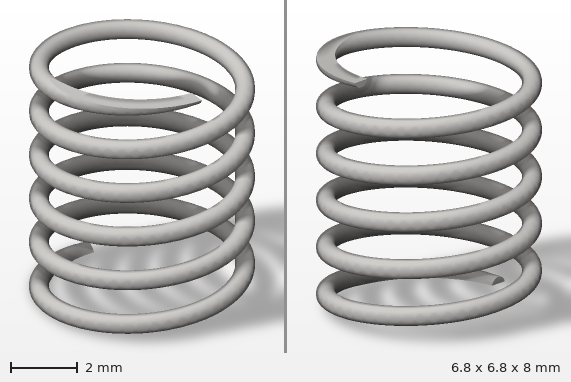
import cadquery as cq
import math

outer_diameter = 6.8
free_height = 8.0
wire_diameter = 0.6
turns = 5.5
end_grind = 0.09
top_overrun = 0.06

coil_radius = (outer_diameter - wire_diameter) / 2
centreline_height = free_height + 2 * end_grind
pitch = centreline_height / turns
overrun_rise = pitch * top_overrun / (2 * math.pi * coil_radius)


def coil():
    """Right-handed round-wire coil starting on the -X side, centred on the origin."""
    helix = cq.Wire.makeHelix(pitch, centreline_height + overrun_rise, coil_radius)
    wire_section = cq.Workplane("XZ").center(coil_radius, 0).circle(wire_diameter / 2)
    swept = wire_section.sweep(cq.Workplane(obj=helix), isFrenet=True)
    return swept.rotate((0, 0, 0), (0, 0, 1), 180).translate((0, 0, -centreline_height / 2))


def ground_envelope():
    """Block whose top and bottom faces grind the coil ends flat."""
    width = outer_diameter + 2 * wire_diameter
    return cq.Workplane("XY").box(width, width, free_height)


result = coil().intersect(ground_envelope())